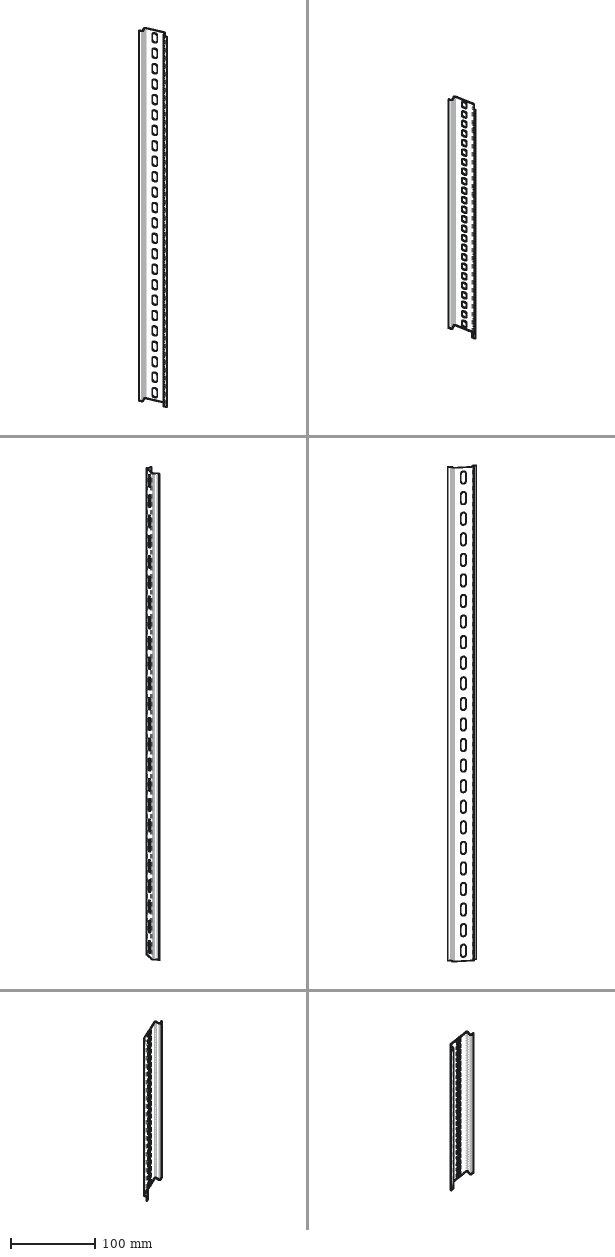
import cadquery as cq

rail_length = 600.0

sheet_thickness = 1.0
web_width = 27.0
inner_bend_radius = 0.8
outer_bend_radius = inner_bend_radius + sheet_thickness
lip_width = 4.0
straight_wall_height = 3.9
rail_width = web_width + 2 * lip_width
rail_depth = straight_wall_height + inner_bend_radius + outer_bend_radius + sheet_thickness

slot_count = 24
slot_pitch = rail_length / slot_count
slot_length = 15.0
slot_end_radius = 3.1
slot_width = 2 * slot_end_radius


def sharp_section():
    """Top-hat outline before bending radii, with the web at +Y and the lips at -Y."""
    lip_edge = rail_width / 2
    wall_outside = web_width / 2
    wall_inside = wall_outside - sheet_thickness
    web_back = rail_depth / 2
    web_front = web_back - sheet_thickness
    lip_front = -rail_depth / 2
    lip_back = lip_front + sheet_thickness
    right_half = [
        (wall_outside, web_back),
        (wall_outside, lip_back),
        (lip_edge, lip_back),
        (lip_edge, lip_front),
        (wall_inside, lip_front),
        (wall_inside, web_front),
    ]
    left_half = [(-x, y) for x, y in reversed(right_half)]
    return cq.Workplane("XY").polyline(right_half + left_half).close()


def bend_edges(body, x_offset, y_offset):
    """Lengthwise edges at the mirrored pair of corners at +/-x_offset."""
    reach = sheet_thickness / 4
    half_length = rail_length / 2 + reach
    right_box, left_box = [
        cq.selectors.BoxSelector(
            (side * x_offset - reach, y_offset - reach, -half_length),
            (side * x_offset + reach, y_offset + reach, half_length),
        )
        for side in (1, -1)
    ]
    return body.edges("|Z").edges(right_box + left_box)


def bent_rail():
    """Full-length rail with concentric inner and outer radii at all four bends."""
    wall_outside = web_width / 2
    wall_inside = wall_outside - sheet_thickness
    half_depth = rail_depth / 2
    inner_level = half_depth - sheet_thickness
    body = sharp_section().extrude(rail_length / 2, both=True)
    body = bend_edges(body, wall_inside, inner_level).fillet(inner_bend_radius)
    body = bend_edges(body, wall_outside, -inner_level).fillet(inner_bend_radius)
    body = bend_edges(body, wall_outside, half_depth).fillet(outer_bend_radius)
    return bend_edges(body, wall_inside, -half_depth).fillet(outer_bend_radius)


def slot_cutters():
    """Round-ended slots through the web, long side along the rail."""
    slot_angle = 90
    return (
        cq.Workplane("XZ")
        .rarray(6, slot_pitch, 1, slot_count)
        .slot2D(slot_length, slot_width, slot_angle)
        .extrude(rail_depth, both=True)
    )


result = bent_rail().cut(slot_cutters())